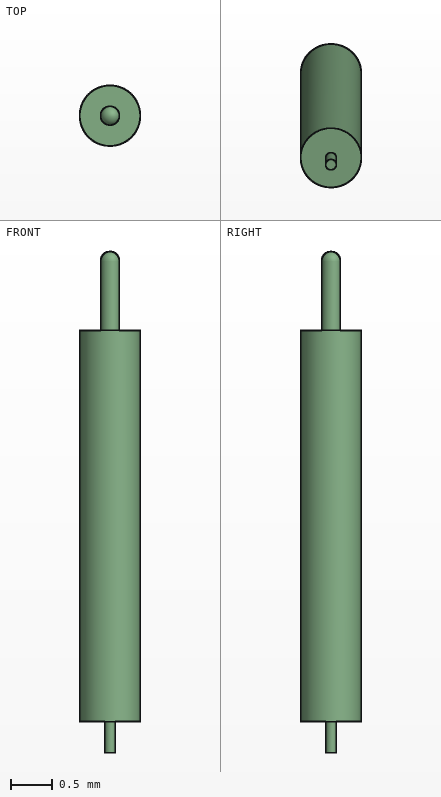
import cadquery as cq


overall_length = 6.1
barrel_diameter = 0.74
barrel_length = 4.76
tail_diameter = 0.13
tail_length = 0.38
plunger_diameter = 0.23

plunger_radius = plunger_diameter / 2

plunger_tip = overall_length - tail_length
dome_base = plunger_tip - plunger_radius


def make_barrel():
    """Solid cylindrical barrel with a thin tail below it, turned as one piece."""
    sleeve = cq.Workplane("XY").circle(barrel_diameter / 2).extrude(barrel_length)
    tail = cq.Workplane("XY").circle(tail_diameter / 2).extrude(-tail_length)
    return sleeve.union(tail)


def make_plunger():
    """Round pin standing on the barrel's upper face, with a hemispherical tip."""
    return (
        cq.Workplane("XZ")
        .moveTo(0, barrel_length)
        .lineTo(plunger_radius, barrel_length)
        .lineTo(plunger_radius, dome_base)
        .radiusArc((0, plunger_tip), -plunger_radius)
        .close()
        .revolve(360, (0, 0), (0, 1))
    )


barrel = make_barrel()
plunger = make_plunger()

result = cq.Compound.makeCompound([barrel.val(), plunger.val()])